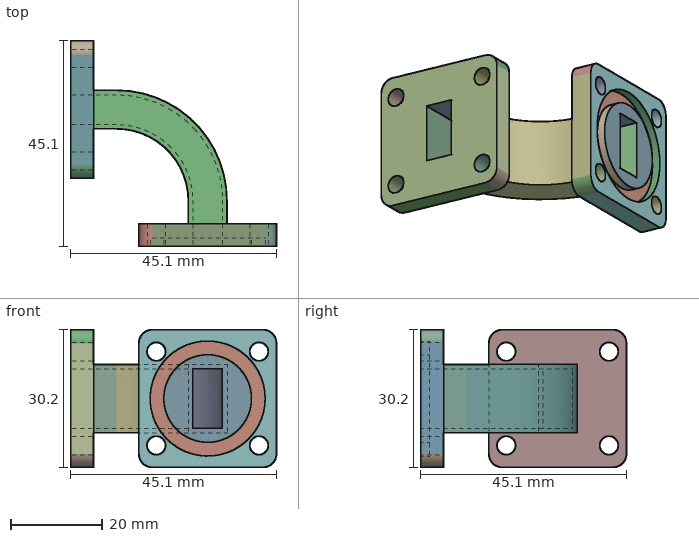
import cadquery as cq

bore_width = 6.5
bore_height = 12.95
tube_width = 8.5
tube_height = 15.0
bend_radius = 20.0
straight_length = 5.0

flange_size = 30.2
flange_thickness = 5.0
flange_corner_radius = 3.0
hole_diameter = 4.0
hole_spacing_across = 22.5
hole_spacing_height = 20.55

groove_outer_diameter = 25.2
groove_inner_diameter = 19.2
groove_depth = 1.9

leg_length = flange_thickness + straight_length + bend_radius

y_face = cq.Plane(origin=(0, -leg_length, 0), xDir=(1, 0, 0), normal=(0, 1, 0))
x_face = cq.Plane(origin=(-leg_length, 0, 0), xDir=(0, 1, 0), normal=(1, 0, 0))


def make_duct(width, height):
    """Rectangular bar following the waveguide axis from flange face to flange face."""
    path = (
        cq.Workplane("XY")
        .moveTo(0, -leg_length)
        .lineTo(0, -bend_radius)
        .radiusArc((-bend_radius, 0), -bend_radius)
        .lineTo(-leg_length, 0)
    )
    return cq.Workplane(y_face).rect(width, height).sweep(path)


def make_flange(face):
    """Square plate with rounded corners and four screw holes."""
    plate = (
        cq.Workplane(face)
        .rect(flange_size, flange_size)
        .extrude(flange_thickness)
        .edges(cq.selectors.ParallelDirSelector(face.zDir))
        .fillet(flange_corner_radius)
    )
    holes = (
        cq.Workplane(face)
        .rect(hole_spacing_across, hole_spacing_height, forConstruction=True)
        .vertices()
        .circle(hole_diameter / 2)
        .extrude(flange_thickness)
    )
    return plate.cut(holes)


def make_groove(face):
    """Ring cut into a flange face around the bore."""
    return (
        cq.Workplane(face)
        .circle(groove_outer_diameter / 2)
        .circle(groove_inner_diameter / 2)
        .extrude(groove_depth)
    )


body = make_duct(tube_width, tube_height)
body = body.union(make_flange(y_face)).union(make_flange(x_face))
body = body.cut(make_groove(y_face))
result = body.cut(make_duct(bore_width, bore_height))